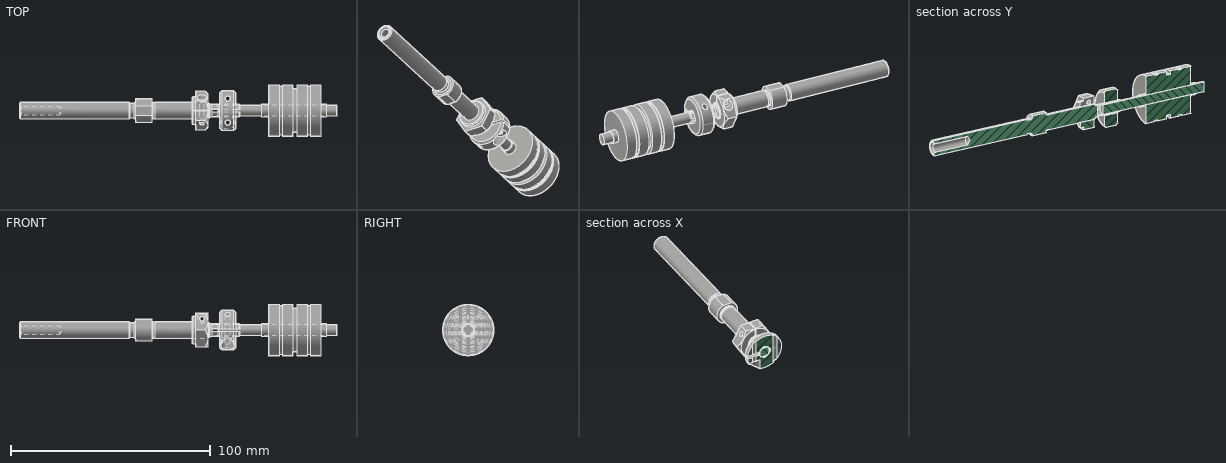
import cadquery as cq
import math

OVERALL_LENGTH = 158.6

TUBE_DIAMETER = 8.5
TUBE_RADIUS = TUBE_DIAMETER / 2
END_CHAMFER = 0.5
RELIEF_RADIUS = 3.75
RELIEF_CHAMFER = TUBE_RADIUS - RELIEF_RADIUS
RELIEF_START = 55.2
RELIEF_END = 57.1
COLLAR_START = 58.0
FLARE_RADIUS = RELIEF_RADIUS + COLLAR_START - RELIEF_END
COLLAR_END = 66.2
COLLAR_RADIUS = 6.0
COLLAR_ACROSS_FLATS = 11.0
GROOVE_START = COLLAR_END + 0.55
GROOVE_END = GROOVE_START + 0.8
GROOVE_DEPTH = 0.1
COLLET_RADIUS = 3.25
SHOULDER_START = 94.3
NECK_RADIUS = RELIEF_RADIUS
NECK_LENGTH = 0.5
NECK_END = SHOULDER_START + NECK_LENGTH
COLLET_START = NECK_END + NECK_RADIUS - COLLET_RADIUS
COLLET_END = 110.2
COLLET_END_CHAMFER = 0.5
COLLET_SLOT_START = COLLET_START + 0.9
SLOT_WIDTH = 1.3
BLIND_BORE_DIAMETER = 4.3
BLIND_BORE_DEPTH = 20.0
MOUTH_DIAMETER = 6.2
DRILL_POINT_ANGLE = 118.0

FLANGE_START = 86.1
FLANGE_DIAMETER = 14.0
FLANGE_CHAMFER = 0.5
HEX_START = 88.0
HEX_END = SHOULDER_START
HEX_ACROSS_FLATS = 17.0
HEX_CORNER_CHAMFER = 1.5
NUT_SLIT_WIDTH = 0.5
NUT_SCREW_DIAMETER = 2.2
NUT_SCREW_HEIGHT = 5.7
NUT_HEAD_DIAMETER = 4.6
NUT_HEAD_SEAT = 4.0

RING_START = 100.0
RING_END = 108.1
RING_DIAMETER = 20.0
RING_CHAMFER = 1.1
RING_SCREW_OFFSET = 6.0
RING_SCREW_DIAMETER = 2.5
RING_HEAD_DIAMETER = 6.6
RING_HEAD_SEAT = -4.0

SPINDLE_START = 99.2
SPINDLE_DIAMETER = 5.5

HUB_START = 120.9
HUB_END = 153.5
HUB_RADIUS = 3.25
ROLLER_START = 124.5
ROLLER_END = 150.8
ROLLER_RADIUS = 25.75 / 2
ROLLER_MIDDLE = (ROLLER_START + ROLLER_END) / 2
MIDDLE_GROOVE_WIDTH = 2.0
MIDDLE_GROOVE_RADIUS = 10.95
SIDE_GROOVE_WIDTH = 1.5
SIDE_GROOVE_DEPTH = 0.6
SIDE_GROOVE_OFFSET = 6.95


def cylinder_x(start, end, diameter):
    """Cylinder along X between two stations."""
    return cq.Workplane("YZ").workplane(offset=start).circle(diameter / 2).extrude(end - start)


def turned(profile):
    """Revolve an outline of (station, radius) points, which starts and ends on the axis, about X."""
    return cq.Workplane("XY").polyline(profile).close().revolve(360, (0, 0, 0), (1, 0, 0))


def block(start, end, y_range, z_range):
    """Box between X stations and the given Y and Z limits."""
    size = (end - start, y_range[1] - y_range[0], z_range[1] - z_range[0])
    return cq.Workplane("XY").box(*size, centered=False).translate((start, y_range[0], z_range[0]))


def make_tube():
    body = turned([
        (0, 0),
        (0, TUBE_RADIUS - END_CHAMFER),
        (END_CHAMFER, TUBE_RADIUS),
        (RELIEF_START - RELIEF_CHAMFER, TUBE_RADIUS),
        (RELIEF_START, RELIEF_RADIUS),
        (RELIEF_END, RELIEF_RADIUS),
        (COLLAR_START, FLARE_RADIUS),
        (COLLAR_START, COLLAR_RADIUS),
        (COLLAR_END, COLLAR_RADIUS),
        (COLLAR_END, TUBE_RADIUS),
        (GROOVE_START, TUBE_RADIUS),
        (GROOVE_START, TUBE_RADIUS - GROOVE_DEPTH),
        (GROOVE_END, TUBE_RADIUS - GROOVE_DEPTH),
        (GROOVE_END, TUBE_RADIUS),
        (SHOULDER_START, TUBE_RADIUS),
        (SHOULDER_START, NECK_RADIUS),
        (NECK_END, NECK_RADIUS),
        (COLLET_START, COLLET_RADIUS),
        (COLLET_END - COLLET_END_CHAMFER, COLLET_RADIUS),
        (COLLET_END, COLLET_RADIUS - COLLET_END_CHAMFER),
        (COLLET_END, 0),
    ])

    flat = COLLAR_ACROSS_FLATS / 2
    across = (-COLLAR_RADIUS, COLLAR_RADIUS)
    body = body.cut(block(COLLAR_START, COLLAR_END, across, (flat, COLLAR_RADIUS)))
    body = body.cut(block(COLLAR_START, COLLAR_END, across, (-COLLAR_RADIUS, -flat)))

    bore_radius = BLIND_BORE_DIAMETER / 2
    mouth_radius = MOUTH_DIAMETER / 2
    point_depth = bore_radius / math.tan(math.radians(DRILL_POINT_ANGLE / 2))
    body = body.cut(turned([
        (0, 0),
        (0, mouth_radius),
        (mouth_radius - bore_radius, bore_radius),
        (BLIND_BORE_DEPTH, bore_radius),
        (BLIND_BORE_DEPTH + point_depth, 0),
    ]))

    body = body.cut(cylinder_x(COLLET_SLOT_START, COLLET_END, SPINDLE_DIAMETER))
    half_slot = (-SLOT_WIDTH / 2, SLOT_WIDTH / 2)
    full = (-TUBE_RADIUS, TUBE_RADIUS)
    body = body.cut(block(COLLET_SLOT_START, COLLET_END, full, half_slot))
    body = body.cut(block(COLLET_SLOT_START, COLLET_END, half_slot, full))
    return body


def make_clamp_nut():
    flange = cylinder_x(FLANGE_START, HEX_START, FLANGE_DIAMETER).faces("<X").chamfer(FLANGE_CHAMFER)
    corner_diameter = HEX_ACROSS_FLATS / math.cos(math.pi / 6)
    hexagon = (
        cq.Workplane("YZ").workplane(offset=HEX_START)
        .polygon(6, corner_diameter).extrude(HEX_END - HEX_START)
    )
    corner_cone = (
        cylinder_x(HEX_START, HEX_END, corner_diameter)
        .faces(">X").chamfer(HEX_CORNER_CHAMFER)
    )
    nut = flange.union(hexagon.intersect(corner_cone))
    nut = nut.cut(cylinder_x(FLANGE_START, HEX_END, TUBE_DIAMETER))

    half_slit = (-NUT_SLIT_WIDTH / 2, NUT_SLIT_WIDTH / 2)
    nut = nut.cut(block(FLANGE_START, HEX_END, half_slit, (0, HEX_ACROSS_FLATS)))

    middle = (HEX_START + HEX_END) / 2
    sketch = cq.Workplane("XZ").center(middle, NUT_SCREW_HEIGHT)
    nut = nut.cut(sketch.circle(NUT_SCREW_DIAMETER / 2).extrude(corner_diameter / 2, both=True))
    head = (
        sketch.workplane(offset=-NUT_HEAD_SEAT)
        .circle(NUT_HEAD_DIAMETER / 2).extrude(-corner_diameter / 2)
    )
    return nut.cut(head)


def make_clamp_ring():
    radius = RING_DIAMETER / 2
    ring = cylinder_x(RING_START, RING_END, RING_DIAMETER).faces("<X or >X").chamfer(RING_CHAMFER)
    ring = ring.cut(cylinder_x(RING_START, RING_END, 2 * COLLET_RADIUS))

    ring = ring.cut(block(RING_START, RING_END, (-radius, 0), (-SLOT_WIDTH / 2, SLOT_WIDTH / 2)))

    middle = (RING_START + RING_END) / 2
    for side in (-1, 1):
        hole = cq.Workplane("XY").center(middle, side * RING_SCREW_OFFSET)
        ring = ring.cut(hole.circle(RING_SCREW_DIAMETER / 2).extrude(radius, both=True))
    head = (
        cq.Workplane("XY").workplane(offset=RING_HEAD_SEAT)
        .center(middle, -RING_SCREW_OFFSET)
        .circle(RING_HEAD_DIAMETER / 2).extrude(-radius)
    )
    return ring.cut(head)


def make_spindle():
    return cylinder_x(SPINDLE_START, OVERALL_LENGTH, SPINDLE_DIAMETER)


def ring_groove(middle, width, floor_radius):
    """Ring-shaped cutter for a groove around the roller."""
    start = middle - width / 2
    end = middle + width / 2
    return cylinder_x(start, end, 2 * ROLLER_RADIUS).cut(cylinder_x(start, end, 2 * floor_radius))


def make_roller():
    roller = cylinder_x(ROLLER_START, ROLLER_END, 2 * ROLLER_RADIUS)
    roller = roller.union(cylinder_x(HUB_START, HUB_END, 2 * HUB_RADIUS))
    roller = roller.cut(ring_groove(ROLLER_MIDDLE, MIDDLE_GROOVE_WIDTH, MIDDLE_GROOVE_RADIUS))
    for side in (-1, 1):
        place = ROLLER_MIDDLE + side * SIDE_GROOVE_OFFSET
        roller = roller.cut(ring_groove(place, SIDE_GROOVE_WIDTH, ROLLER_RADIUS - SIDE_GROOVE_DEPTH))
    return roller.cut(cylinder_x(HUB_START, HUB_END, SPINDLE_DIAMETER))


tube = make_tube()
clamp_nut = make_clamp_nut()
clamp_ring = make_clamp_ring()
spindle = make_spindle()
roller = make_roller()

result = cq.Compound.makeCompound([
    tube.val(),
    clamp_nut.val(),
    clamp_ring.val(),
    spindle.val(),
    roller.val(),
])